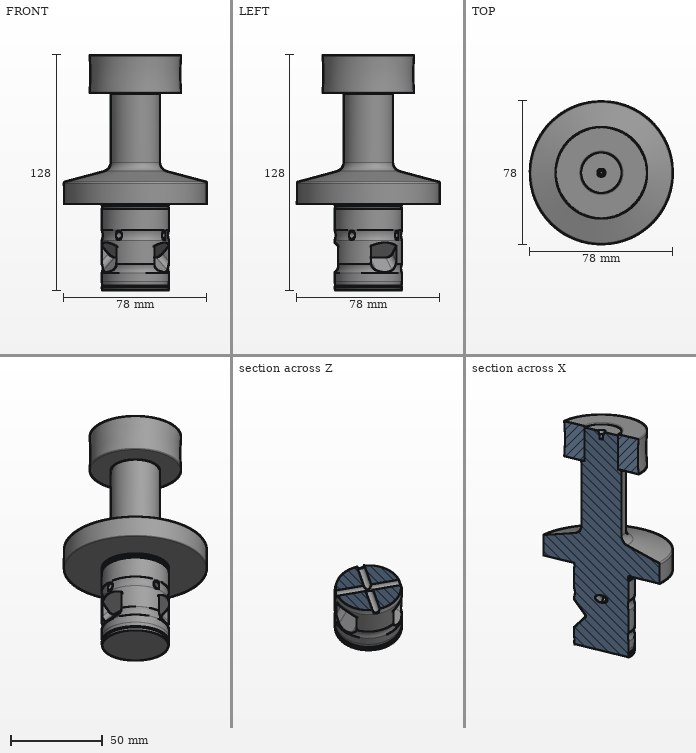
import math

import cadquery as cq

total_height = 128.0

knob_diameter = 50.0
knob_height = 20.6
knob_rim_hollow = 0.5
knob_edge_round = 0.5
bore_diameter = 22.0
bore_mouth_round = 0.8
knob_bottom_z = total_height - knob_height

spigot_recess = 0.8
stem_diameter = 27.0
stem_chamfer = 0.5
stem_fillet = 5.0

flange_diameter = 78.0
flange_bottom_z = 47.0
flange_shoulder_z = 59.0
flange_slope = 15.0
flange_top_round = 1.0
flange_bottom_round = 0.4

shank_diameter = 36.7
neck_depth = 0.4
neck_top_z = 46.6
neck_bottom_z = 45.5
neck_cone_bottom_z = 44.4
groove_depth = 0.5
hole_groove_top_z = 32.8
hole_groove_bottom_z = 27.3
lower_groove_top_z = 14.5
lower_groove_bottom_z = 9.5
end_groove_depth = 0.3
end_groove_top_z = 4.9
end_groove_floor_z = 2.5
end_groove_bottom_z = 1.7
shank_end_taper = 0.4

centre_mouth_diameter = 4.4
centre_pilot_diameter = 2.0
centre_pilot_length = 2.5
centre_cone_angle = 60.0

cross_hole_diameter = 4.0
cross_hole_spotface_diameter = 5.0
cross_hole_spotface_floor = 18.0
cross_hole_count = 2
cross_hole_first_angle = 60.0
cross_hole_spacing = 90.0

pocket_count = 3
pocket_first_angle = 90.0
pocket_width = 16.0
pocket_corner_radius = 3.0
pocket_tilt = 45.0
pocket_root_radius = 10.2
pocket_root_z = 17.9

knob_radius = knob_diameter / 2
bore_radius = bore_diameter / 2
stem_radius = stem_diameter / 2
flange_radius = flange_diameter / 2
shank_radius = shank_diameter / 2
groove_radius = shank_radius - groove_depth
spigot_top_z = total_height - spigot_recess


def edge_at(body, radius, z):
    """Workplane holding the circular edge of a given radius and height around the axis."""
    margin = 0.01
    return body.edges("%CIRCLE").filter(
        lambda edge: abs(edge.radius() - radius) < margin and abs(edge.Center().z - z) < margin
    )


def make_knob():
    """Ring with a hollowed rim, rounded outer edges and a rounded bore mouth."""
    middle_z = knob_bottom_z + knob_height / 2
    ring = (
        cq.Workplane("XZ")
        .moveTo(bore_radius, knob_bottom_z)
        .lineTo(knob_radius, knob_bottom_z)
        .threePointArc((knob_radius - knob_rim_hollow, middle_z), (knob_radius, total_height))
        .lineTo(bore_radius + bore_mouth_round, total_height)
        .radiusArc((bore_radius, total_height - bore_mouth_round), -bore_mouth_round)
        .close()
        .revolve(360, (0, 0, 0), (0, 1, 0))
    )
    ring = edge_at(ring, knob_radius, total_height).fillet(knob_edge_round)
    return edge_at(ring, knob_radius, knob_bottom_z).fillet(knob_edge_round)


def make_post_blank():
    """Turned post: spigot, stem, flange and grooved shank in one outline."""
    slope = math.radians(flange_slope)
    stem_fillet_x = stem_radius + stem_fillet
    stem_foot_radius = stem_fillet_x - stem_fillet * math.sin(slope)
    stem_foot_z = flange_shoulder_z + (flange_radius - stem_foot_radius) * math.tan(slope)
    stem_fillet_z = stem_foot_z + stem_fillet * math.cos(slope)
    half_turn = (math.pi / 2 - slope) / 2
    stem_fillet_middle = (
        stem_fillet_x - stem_fillet * math.cos(half_turn),
        stem_fillet_z - stem_fillet * math.sin(half_turn),
    )
    neck_radius = shank_radius - neck_depth
    end_arc_radius = (end_groove_bottom_z**2 + shank_end_taper**2) / (2 * shank_end_taper)

    outline = (
        cq.Workplane("XZ")
        .moveTo(0, 0)
        .lineTo(shank_radius - shank_end_taper, 0)
        .radiusArc((shank_radius, end_groove_bottom_z), -end_arc_radius)
        .lineTo(shank_radius - end_groove_depth, end_groove_floor_z)
        .lineTo(shank_radius, end_groove_top_z)
        .lineTo(shank_radius, lower_groove_bottom_z)
        .threePointArc(
            (groove_radius, (lower_groove_bottom_z + lower_groove_top_z) / 2),
            (shank_radius, lower_groove_top_z),
        )
        .lineTo(shank_radius, hole_groove_bottom_z)
        .threePointArc(
            (groove_radius, (hole_groove_bottom_z + hole_groove_top_z) / 2),
            (shank_radius, hole_groove_top_z),
        )
        .lineTo(shank_radius, neck_cone_bottom_z)
        .lineTo(neck_radius, neck_bottom_z)
        .lineTo(neck_radius, neck_top_z)
        .lineTo(shank_radius, neck_top_z)
        .lineTo(shank_radius, flange_bottom_z)
        .lineTo(flange_radius, flange_bottom_z)
        .lineTo(flange_radius, flange_shoulder_z)
        .lineTo(stem_foot_radius, stem_foot_z)
        .threePointArc(stem_fillet_middle, (stem_radius, stem_fillet_z))
        .lineTo(stem_radius, knob_bottom_z)
        .lineTo(bore_radius, knob_bottom_z)
        .lineTo(bore_radius, spigot_top_z)
        .lineTo(0, spigot_top_z)
        .close()
    )
    return outline.revolve(360, (0, 0, 0), (0, 1, 0))


def dress_edges(post):
    """Rounds and chamfers on the circular edges of the post."""
    post = edge_at(post, flange_radius, flange_bottom_z).fillet(flange_bottom_round)
    post = edge_at(post, flange_radius, flange_shoulder_z).fillet(flange_top_round)
    return edge_at(post, stem_radius, knob_bottom_z).chamfer(stem_chamfer)


def make_centre_drilling():
    """Conical mouth leading into a narrow pilot hole, sunk from the spigot top."""
    mouth_radius = centre_mouth_diameter / 2
    pilot_radius = centre_pilot_diameter / 2
    cone_depth = (mouth_radius - pilot_radius) / math.tan(math.radians(centre_cone_angle / 2))
    cone_bottom_z = spigot_top_z - cone_depth
    return (
        cq.Workplane("XZ")
        .moveTo(0, spigot_top_z)
        .lineTo(mouth_radius, spigot_top_z)
        .lineTo(pilot_radius, cone_bottom_z)
        .lineTo(pilot_radius, cone_bottom_z - centre_pilot_length)
        .lineTo(0, cone_bottom_z - centre_pilot_length)
        .close()
        .revolve(360, (0, 0, 0), (0, 1, 0))
    )


def make_cross_hole(angle):
    """Horizontal drilling through the axis, lightly spotfaced at both mouths."""
    hole_z = (hole_groove_bottom_z + hole_groove_top_z) / 2
    axis_plane = cq.Workplane("YZ").center(0, hole_z)
    drilling = axis_plane.circle(cross_hole_diameter / 2).extrude(shank_radius, both=True)
    spotfaces = axis_plane.circle(cross_hole_spotface_diameter / 2).extrude(shank_radius, both=True)
    core = axis_plane.circle(cross_hole_spotface_diameter).extrude(cross_hole_spotface_floor, both=True)
    return drilling.union(spotfaces.cut(core)).rotate((0, 0, 0), (0, 0, 1), angle)


def make_pocket(angle):
    """Slot with rounded floor corners and a flat end, running outwards and down from its root."""
    slot_size = shank_diameter
    half_width = pocket_width / 2
    tilt = math.radians(pocket_tilt)
    root_plane = cq.Plane(
        origin=(pocket_root_radius, 0, pocket_root_z),
        xDir=(0, 1, 0),
        normal=(math.cos(tilt), 0, -math.sin(tilt)),
    )
    return (
        cq.Workplane(root_plane)
        .moveTo(half_width, slot_size)
        .lineTo(-half_width, slot_size)
        .lineTo(-half_width, pocket_corner_radius)
        .radiusArc((pocket_corner_radius - half_width, 0), -pocket_corner_radius)
        .lineTo(half_width - pocket_corner_radius, 0)
        .radiusArc((half_width, pocket_corner_radius), -pocket_corner_radius)
        .close()
        .extrude(slot_size)
        .rotate((0, 0, 0), (0, 0, 1), angle)
    )


def make_post():
    post = dress_edges(make_post_blank())
    post = post.cut(make_centre_drilling())
    for index in range(cross_hole_count):
        post = post.cut(make_cross_hole(cross_hole_first_angle + index * cross_hole_spacing))
    for index in range(pocket_count):
        post = post.cut(make_pocket(pocket_first_angle + index * 360 / pocket_count))
    return post


knob = make_knob()
post = make_post()
result = cq.Compound.makeCompound([knob.val(), post.val()])